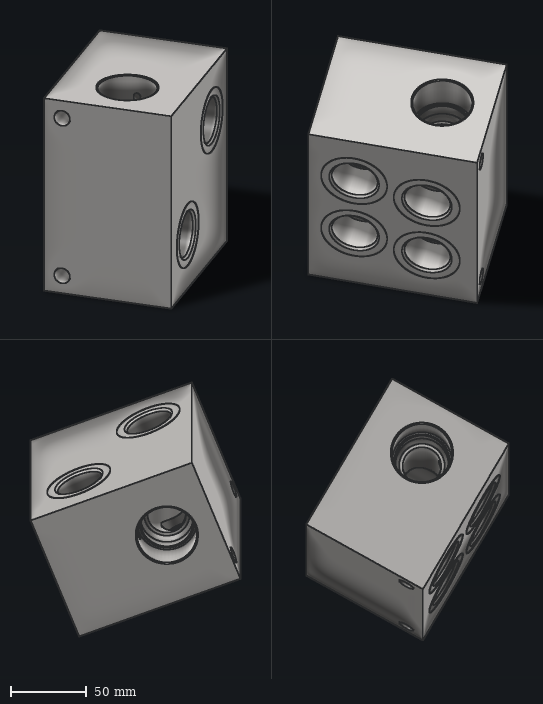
import cadquery as cq
import math

LENGTH_X = 88.8
WIDTH_Y = 114.3
HEIGHT_Z = 139.7
MID_Z = HEIGHT_Z / 2

MOUNT_RADIUS = 5.5
MOUNT_INSET = 12.7

NEAR_COLUMN_Y = 34.1
FAR_COLUMN_Y = 83.3
CAVITY_PORT_OFFSET_Z = 21.2
THROUGH_PORT_OFFSET_Z = 30.9

SPOTFACE_RADIUS = 22.4
SPOTFACE_DEPTH = 0.3
SEAT_RADIUS = 16.9
SEAT_LENGTH = 1.7
PORT_RADIUS = 15.5
PORT_DEPTH = 25.1
DRILL_HALF_ANGLE = 59.0
THROUGH_RADIUS = 14.4
CROSS_RADIUS = 11.0

CAVITY_X = 46.7
TOP_CAVITY_Y = NEAR_COLUMN_Y
BOTTOM_CAVITY_Y = WIDTH_Y - TOP_CAVITY_Y
MOUTH_RADIUS = 20.7
MOUTH_DEPTH = 0.5
RELIEF_RADIUS = 19.7
RELIEF_DEPTH = 22.6
THREAD_TOP_RADIUS = 18.3
THREAD_RADIUS = 17.5
THREAD_CHAMFER = 0.5
THREAD_DEPTH = 30.7
SEAL_TOP_RADIUS = 16.0
SEAL_TAPER_LENGTH = 2.1
SEAL_RADIUS = 15.1
SEAL_DEPTH = 35.6
NOSE_RADIUS = 12.7
NOSE_DEPTH = MID_Z + THROUGH_PORT_OFFSET_Z

PILOT_RADIUS = 2.4


def revolved_port(inner_radius, end_depth):
    """Port along +X from the origin: spotface, conical seat, bore, drill cone and inner bore."""
    seat_end = SPOTFACE_DEPTH + SEAT_LENGTH
    cone_length = (PORT_RADIUS - inner_radius) / math.tan(math.radians(DRILL_HALF_ANGLE))
    return (
        cq.Workplane("XY")
        .polyline([
            (0, 0),
            (0, SPOTFACE_RADIUS),
            (SPOTFACE_DEPTH, SPOTFACE_RADIUS),
            (SPOTFACE_DEPTH, SEAT_RADIUS),
            (seat_end, PORT_RADIUS),
            (PORT_DEPTH, PORT_RADIUS),
            (PORT_DEPTH + cone_length, inner_radius),
            (end_depth, inner_radius),
            (end_depth, 0),
        ])
        .close()
        .revolve(360, (0, 0, 0), (1, 0, 0))
    )


def through_port(y, z):
    """Port running the full length in X, with the same mouth on both sides."""
    half = revolved_port(THROUGH_RADIUS, LENGTH_X / 2)
    other_half = half.mirror("YZ").translate((LENGTH_X, 0, 0))
    return half.union(other_half).translate((0, y, z))


def cavity_port(y, z):
    """Blind port from the -X side that ends at the axis of a cavity."""
    return revolved_port(CROSS_RADIUS, CAVITY_X).translate((0, y, z))


def cavity():
    """Cartridge cavity going down from the origin."""
    return (
        cq.Workplane("XZ")
        .polyline([
            (0, 0),
            (MOUTH_RADIUS, 0),
            (RELIEF_RADIUS, -MOUTH_DEPTH),
            (RELIEF_RADIUS, -RELIEF_DEPTH),
            (THREAD_TOP_RADIUS, -RELIEF_DEPTH),
            (THREAD_RADIUS, -RELIEF_DEPTH - THREAD_CHAMFER),
            (THREAD_RADIUS, -THREAD_DEPTH),
            (SEAL_TOP_RADIUS, -THREAD_DEPTH - SEAL_TAPER_LENGTH),
            (SEAL_RADIUS, -SEAL_DEPTH),
            (NOSE_RADIUS, -SEAL_DEPTH),
            (NOSE_RADIUS, -NOSE_DEPTH),
            (0, -NOSE_DEPTH),
        ])
        .close()
        .revolve(360, (0, 0, 0), (0, 1, 0))
    )


def pilot(start_y, start_z, end_y, end_z):
    """Slanted drilling from the centre of a cavity mouth to the axis of a through port."""
    start = cq.Vector(CAVITY_X, start_y, start_z)
    run = cq.Vector(CAVITY_X, end_y, end_z) - start
    return cq.Workplane(cq.Solid.makeCylinder(PILOT_RADIUS, run.Length, start, run))


block = cq.Workplane("XY").box(LENGTH_X, WIDTH_Y, HEIGHT_Z, centered=False)

for z in (MOUNT_INSET, HEIGHT_Z - MOUNT_INSET):
    hole = cq.Workplane("XZ").center(MOUNT_INSET, z).circle(MOUNT_RADIUS).extrude(-WIDTH_Y)
    block = block.cut(hole)

low_through_z = MID_Z - THROUGH_PORT_OFFSET_Z
high_through_z = MID_Z + THROUGH_PORT_OFFSET_Z
block = block.cut(through_port(NEAR_COLUMN_Y, low_through_z))
block = block.cut(through_port(FAR_COLUMN_Y, high_through_z))
block = block.cut(cavity_port(NEAR_COLUMN_Y, MID_Z + CAVITY_PORT_OFFSET_Z))
block = block.cut(cavity_port(FAR_COLUMN_Y, MID_Z - CAVITY_PORT_OFFSET_Z))

block = block.cut(cavity().translate((CAVITY_X, TOP_CAVITY_Y, HEIGHT_Z)))
block = block.cut(cavity().mirror("XY").translate((CAVITY_X, BOTTOM_CAVITY_Y, 0)))

block = block.cut(pilot(TOP_CAVITY_Y, HEIGHT_Z, FAR_COLUMN_Y, high_through_z))
block = block.cut(pilot(BOTTOM_CAVITY_Y, 0, NEAR_COLUMN_Y, low_through_z))

result = block